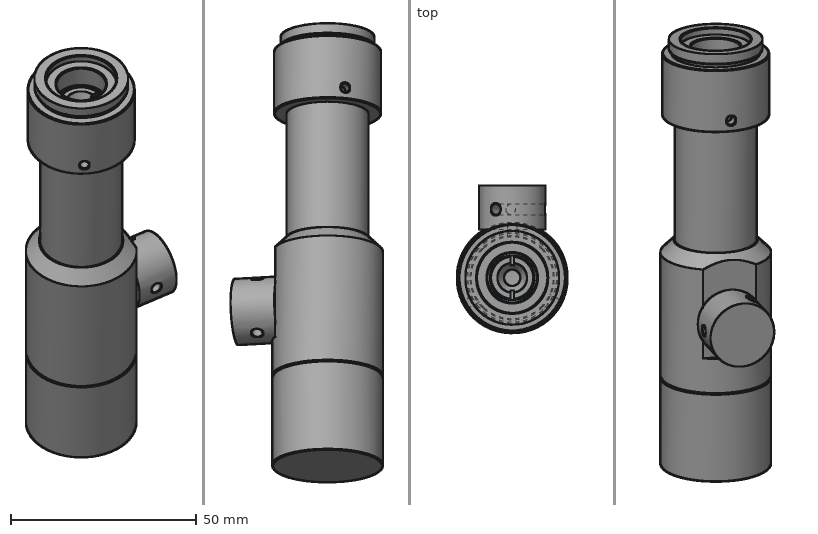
import cadquery as cq
import math

overall_height = 121.47
edge_break = 0.25

barrel_dia = 30.0
base_height = 25.2
housing_top = 64.2
shoulder_top_dia = 22.8
shoulder_height = (barrel_dia - shoulder_top_dia) / 2
flat_y = 13.0
flat_bottom = 35.2

tube_dia = 22.2

collar_dia = 29.0
collar_bottom = 99.7
collar_top = 117.5
spigot_dia = 25.4
relief_dia = 24.0
relief_height = 0.9
spigot_chamfer = 0.35
spigot_recess_dia = 19.0
spigot_recess_depth = 2.0
mount_bore_dia = 13.4
mount_bore_depth = 6.0
collar_screw_dia = 2.5
collar_countersink_dia = 3.0
collar_screw_z = 102.9
collar_screw_angles = (90, 210, 330)

ring_dia = 12.0
ring_chamfer = 0.3
cone_top_dia = 8.0
cone_bottom_dia = 4.4
cone_half_angle = 30
ring_height = (cone_top_dia - cone_bottom_dia) / 2 / math.tan(math.radians(cone_half_angle))
slot_width = 1.0
slot_depth = 1.0
lens_thickness = 2.0
lens_radius = 20.0

port_dia = 18.0
port_z = 45.1
port_end_y = 25.0
port_screw_dia = 3.0
port_countersink_dia = 3.4
port_screw_y = 18.5
port_screw_angles = (0, 120, 240)

shoulder_bottom = housing_top - shoulder_height
recess_floor_z = overall_height - spigot_recess_depth
bore_floor_z = recess_floor_z - mount_bore_depth
spigot_bottom = collar_top + relief_height
lens_top_z = bore_floor_z - ring_height
lens_bottom_z = lens_top_z - lens_thickness
tube_top = lens_bottom_z


def cylinder(diameter, bottom, top):
    """Upright cylinder on the optical axis."""
    return cq.Workplane("XY").workplane(offset=bottom).circle(diameter / 2).extrude(top - bottom)


def chamfered_bore(diameter, bottom, top):
    """Cutter for an upright bore whose mouth is widened by a small chamfer."""
    radius = diameter / 2
    mouth = cq.Solid.makeCone(radius, radius + edge_break, edge_break, cq.Vector(0, 0, top - edge_break))
    return cylinder(diameter, bottom, top).union(cq.Workplane(mouth))


def screw_hole(axis_point, direction, wall_radius, hole_dia, countersink_dia):
    """Cutter for a radial hole from an axis out through a round wall, with a 45 degree countersink."""
    hole_radius = hole_dia / 2
    sink_depth = countersink_dia / 2 - hole_radius
    hole = cq.Solid.makeCylinder(hole_radius, wall_radius, axis_point, direction)
    sink_start = axis_point + direction * (wall_radius - sink_depth)
    sink = cq.Solid.makeCone(hole_radius, countersink_dia / 2, sink_depth, sink_start, direction)
    return cq.Workplane(hole).union(cq.Workplane(sink))


def make_base():
    return cylinder(barrel_dia, 0, base_height).edges().chamfer(edge_break)


def make_housing():
    body = cylinder(barrel_dia, base_height, shoulder_bottom).faces("<Z").edges().chamfer(edge_break)
    shoulder = cq.Solid.makeCone(
        barrel_dia / 2, shoulder_top_dia / 2, shoulder_height, cq.Vector(0, 0, shoulder_bottom)
    )
    body = body.union(cq.Workplane(shoulder))
    flat_cut = (
        cq.Workplane("XY")
        .workplane(offset=flat_bottom)
        .center(0, flat_y + barrel_dia / 2)
        .rect(barrel_dia, barrel_dia)
        .extrude(overall_height)
    )
    return body.cut(flat_cut)


def make_tube():
    return cylinder(tube_dia, housing_top, tube_top)


def make_mount():
    collar = cylinder(collar_dia, collar_bottom, collar_top).edges().chamfer(edge_break)
    relief = cylinder(relief_dia, collar_top, spigot_bottom)
    spigot = cylinder(spigot_dia, spigot_bottom, overall_height)
    spigot = spigot.faces("<Z").edges().chamfer(spigot_chamfer)
    mount = collar.union(relief).union(spigot)
    mount = mount.cut(chamfered_bore(spigot_recess_dia, recess_floor_z, overall_height))
    mount = mount.cut(chamfered_bore(mount_bore_dia, bore_floor_z, recess_floor_z))
    mount = mount.cut(cylinder(ring_dia, lens_bottom_z, bore_floor_z))
    mount = mount.cut(cylinder(tube_dia, collar_bottom, tube_top))
    for angle in collar_screw_angles:
        direction = cq.Vector(math.cos(math.radians(angle)), math.sin(math.radians(angle)), 0)
        axis_point = cq.Vector(0, 0, collar_screw_z)
        hole = screw_hole(axis_point, direction, collar_dia / 2, collar_screw_dia, collar_countersink_dia)
        mount = mount.cut(hole)
    return mount


def make_retaining_ring():
    ring = cylinder(ring_dia, lens_top_z, bore_floor_z).faces(">Z").edges().chamfer(ring_chamfer)
    cone = cq.Solid.makeCone(cone_bottom_dia / 2, cone_top_dia / 2, ring_height, cq.Vector(0, 0, lens_top_z))
    slots = (
        cq.Workplane("XY")
        .workplane(offset=bore_floor_z - slot_depth)
        .rect(slot_width, ring_dia)
        .extrude(slot_depth)
    )
    return ring.cut(cq.Workplane(cone)).cut(slots)


def make_lens():
    blank = cylinder(ring_dia, lens_bottom_z, lens_top_z)
    aperture = cone_bottom_dia / 2
    sphere_rise = math.sqrt(lens_radius**2 - aperture**2)
    hollow = cq.Workplane("XY").sphere(lens_radius).translate((0, 0, lens_top_z + sphere_rise))
    return blank.cut(hollow)


def make_port():
    port = cq.Workplane("XZ", origin=(0, flat_y, port_z)).circle(port_dia / 2).extrude(flat_y - port_end_y)
    for angle in port_screw_angles:
        direction = cq.Vector(math.cos(math.radians(angle)), 0, math.sin(math.radians(angle)))
        axis_point = cq.Vector(0, port_screw_y, port_z)
        hole = screw_hole(axis_point, direction, port_dia / 2, port_screw_dia, port_countersink_dia)
        port = port.cut(hole)
    return port


base = make_base()
housing = make_housing()
tube = make_tube()
mount = make_mount()
retaining_ring = make_retaining_ring()
lens = make_lens()
port = make_port()

bodies = [base, housing, tube, mount, retaining_ring, lens, port]
result = cq.Compound.makeCompound([body.val() for body in bodies])